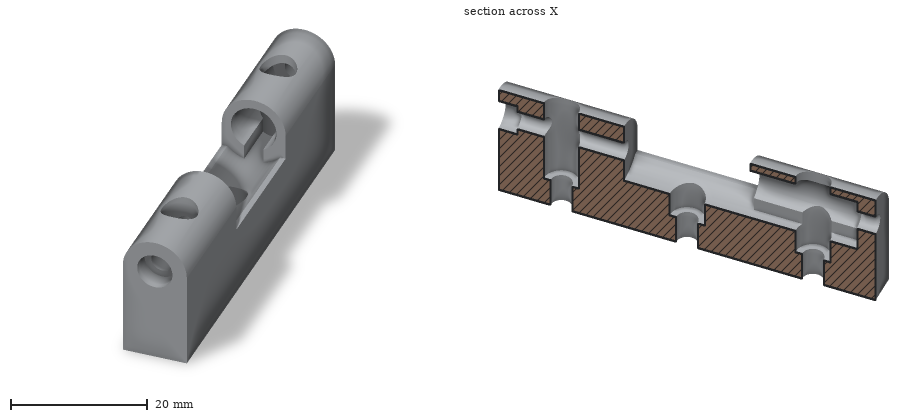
import cadquery as cq

length = 60.0
width = 10.0
height = 20.0
axis_height = height - width / 2

boss_length = length / 3
gap_length = length - 2 * boss_length
gap_half = gap_length / 2
cradle_floor = 11.0
cradle_radius = 5.75

screw_diameter = 3.4
head_diameter = 5.5
vertical_seat_height = 5.0
end_seat_depth = 3.0

bore_diameter = 7.15
key_width = 3.0
end_wall = 3.0
bore_depth = boss_length - end_wall


def cylinder_along_y(diameter, start, end):
    """Cylinder on the long axis of the bar, from y = start to y = end."""
    return (
        cq.Workplane("XZ", origin=(0, start, axis_height))
        .circle(diameter / 2)
        .extrude(start - end)
    )


def bar():
    """Block with a half-round top edge, centred on X and Y."""
    block = cq.Workplane("XY").box(width, length, axis_height, centered=(True, True, False))
    return block.union(cylinder_along_y(width, -length / 2, length / 2))


def cradle():
    """Open gap between the bosses, with a rounded trough in its floor."""
    gap = (
        cq.Workplane("XY", origin=(0, 0, cradle_floor))
        .box(width, gap_length, height, centered=(True, True, False))
    )
    return gap.union(cylinder_along_y(2 * cradle_radius, -gap_half, gap_half))


def vertical_screw_hole(y):
    """Through hole from above with a deep, wider seat for the screw head."""
    hole = cq.Workplane("XY", origin=(0, y, 0)).circle(screw_diameter / 2).extrude(height)
    seat = (
        cq.Workplane("XY", origin=(0, y, vertical_seat_height))
        .circle(head_diameter / 2)
        .extrude(height)
    )
    return hole.union(seat)


def end_screw_hole():
    """Hole along the whole bar, counterbored from the -Y end."""
    hole = cylinder_along_y(screw_diameter, -length / 2, length / 2)
    return hole.union(cylinder_along_y(head_diameter, -length / 2, -length / 2 + end_seat_depth))


def keyed_bore():
    """Blind bore from the gap, with a key slot below it ending on the trough radius."""
    bore_end = gap_half + bore_depth
    slot = (
        cq.Workplane("XY", origin=(0, gap_half, axis_height - cradle_radius))
        .box(key_width, bore_depth, cradle_radius, centered=(True, False, False))
        .intersect(cylinder_along_y(2 * cradle_radius, gap_half, bore_end))
    )
    return cylinder_along_y(bore_diameter, gap_half, bore_end).union(slot)


result = bar().cut(cradle()).cut(end_screw_hole()).cut(keyed_bore())
for hole_y in (-boss_length, 0, boss_length):
    result = result.cut(vertical_screw_hole(hole_y))